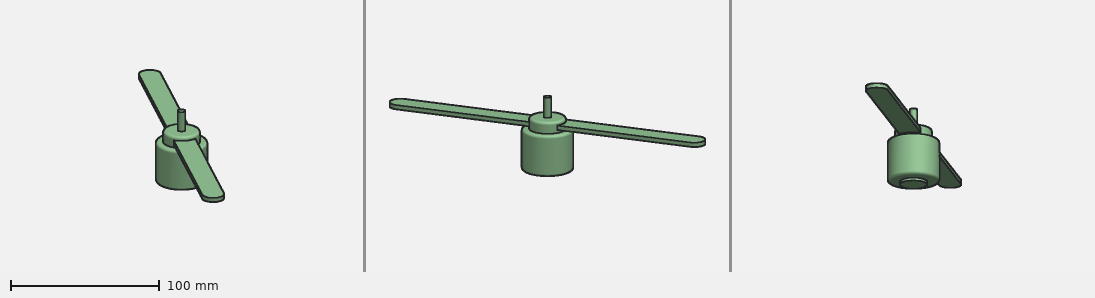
import cadquery as cq
import math

SPAN_X = 129.2
SPAN_Y = 195.5

MOTOR_DIAMETER = 35.0
MOTOR_HEIGHT = 29.0
BASE_DIAMETER = 18.4
BASE_HEIGHT = 2.0
SHAFT_DIAMETER = 5.0
OVERALL_HEIGHT = 53.0
EDGE_RADIUS = 2.0

HUB_DIAMETER = 25.0
HUB_HEIGHT = 8.0
BLADE_WIDTH = 14.9
BLADE_THICKNESS = 3.1
BLADE_LIFT = 2.2

motor_top = BASE_HEIGHT + MOTOR_HEIGHT
blade_bottom = motor_top + BLADE_LIFT

tip_x = SPAN_X / 2 - BLADE_WIDTH / 2
tip_y = -(SPAN_Y / 2 - BLADE_WIDTH / 2)
blade_angle = math.degrees(math.atan2(tip_y, tip_x))
blade_length = 2 * math.hypot(tip_x, tip_y) + BLADE_WIDTH


def disc(diameter, bottom, height):
    """Upright cylinder on the motor axis."""
    return cq.Workplane("XY", origin=(0, 0, bottom)).circle(diameter / 2).extrude(height)


def make_motor():
    """Rounded can with a mounting boss below and a long shaft above."""
    can = disc(MOTOR_DIAMETER, BASE_HEIGHT, MOTOR_HEIGHT).edges().fillet(EDGE_RADIUS)
    base = disc(BASE_DIAMETER, 0, BASE_HEIGHT)
    shaft = disc(SHAFT_DIAMETER, motor_top, OVERALL_HEIGHT - motor_top)
    return can.union(base).union(shaft)


def make_propeller():
    """Hub bored for the shaft, with a flat round-ended blade pair through it."""
    hub = disc(HUB_DIAMETER, motor_top, HUB_HEIGHT).edges(">Z").fillet(EDGE_RADIUS)
    blades = (
        cq.Workplane("XY", origin=(0, 0, blade_bottom))
        .slot2D(blade_length, BLADE_WIDTH, blade_angle)
        .extrude(BLADE_THICKNESS)
    )
    bore = disc(SHAFT_DIAMETER, motor_top, HUB_HEIGHT)
    return hub.union(blades).cut(bore)


motor = make_motor()
propeller = make_propeller()

result = cq.Compound.makeCompound([motor.val(), propeller.val()])